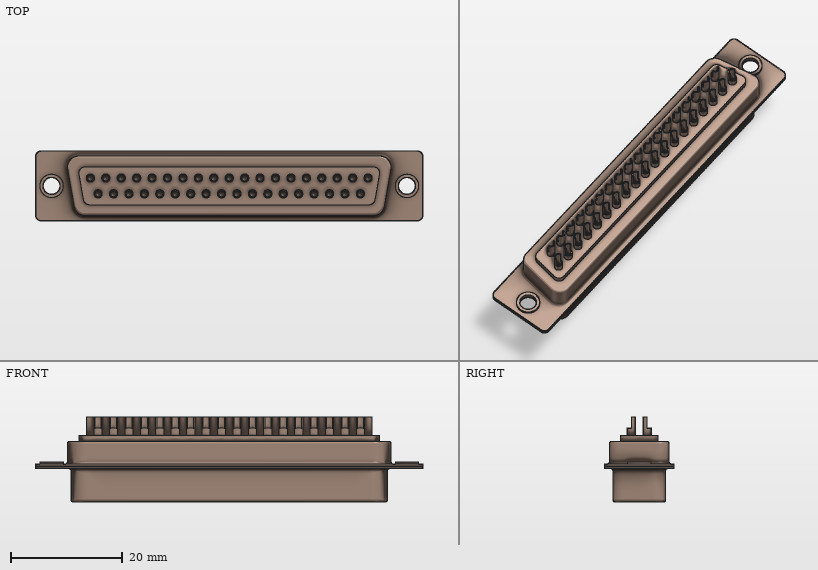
import cadquery as cq
import math

FLANGE_LENGTH = 69.57
FLANGE_WIDTH = 12.55
SHEET_THICKNESS = 0.3
CORE_THICKNESS = 0.2
CORE_SETBACK = 0.05
FLANGE_CORNER_RADIUS = 1.0
MOUNT_SPACING = 63.8
MOUNT_HOLE_DIAMETER = 3.0
MOUNT_RELIEF_DIAMETER = 3.3
EYELET_DIAMETER = 4.2
EYELET_HEIGHT = 0.4

OVERALL_HEIGHT = 15.3
SIDE_ANGLE = math.radians(10)

REAR_SHELL_LENGTH = 58.1
REAR_SHELL_WIDTH = 10.7
REAR_SHELL_HEIGHT = 4.1
FRONT_SHELL_LENGTH = 56.8
FRONT_SHELL_WIDTH = 9.43
FRONT_SHELL_DEPTH = 6.0
SHELL_CORNER_RADIUS = 2.0
SHELL_RIM_RADIUS = 0.4
REAR_FOOT_RADIUS = 0.5
FRONT_FOOT_RADIUS = 0.45

INSULATOR_LENGTH = 54.0
INSULATOR_WIDTH = 6.8
INSULATOR_HEIGHT = 1.05
INSULATOR_CORNER_RADIUS = 1.1

PIN_PITCH = 2.77
ROW_SPACING = 2.84
LONG_ROW_COUNT = 19
CUP_DIAMETER = 1.48
CUP_BORE_DIAMETER = 1.08
CUP_NOTCH_DEPTH = 2.05
CUP_BORE_DEPTH = 4.0
DRILL_POINT_ANGLE = math.radians(118)

SELECT_TOLERANCE = 0.01

flange_top = 2 * SHEET_THICKNESS + CORE_THICKNESS
rear_shell_top = flange_top + REAR_SHELL_HEIGHT
insulator_top = rear_shell_top + INSULATOR_HEIGHT
cup_top = OVERALL_HEIGHT - FRONT_SHELL_DEPTH
notch_floor = cup_top - CUP_NOTCH_DEPTH


def d_prism(length, width, corner_radius, z_low, z_high):
    """Rounded D-shaped prism, longest on its +Y side; length spans the rounded corners."""
    half_width = width / 2
    corner_reach = corner_radius * (1 + math.sin(SIDE_ANGLE)) / math.cos(SIDE_ANGLE)
    long_half = length / 2 - corner_radius + corner_reach
    short_half = long_half - width * math.tan(SIDE_ANGLE)
    corners = [
        (-long_half, half_width),
        (long_half, half_width),
        (short_half, -half_width),
        (-short_half, -half_width),
    ]
    prism = cq.Workplane("XY").workplane(offset=z_low).polyline(corners).close().extrude(z_high - z_low)
    return prism.edges("|Z").fillet(corner_radius)


def make_flange():
    """Two sheets with a recessed core between them, all with rounded corners."""
    core_top = SHEET_THICKNESS + CORE_THICKNESS
    layers = (
        (0, SHEET_THICKNESS, 0),
        (SHEET_THICKNESS, core_top, CORE_SETBACK),
        (core_top, flange_top, 0),
    )
    flange = cq.Workplane("XY")
    for z_low, z_high, setback in layers:
        layer = cq.Workplane("XY").workplane(offset=z_low)
        layer = layer.rect(FLANGE_LENGTH - 2 * setback, FLANGE_WIDTH - 2 * setback)
        layer = layer.extrude(z_high - z_low).edges("|Z").fillet(FLANGE_CORNER_RADIUS - setback)
        flange = flange.union(layer)
    return flange


def make_shells(flange):
    """Both shells on the flange, with rounded rims and concave feet."""
    rear = d_prism(REAR_SHELL_LENGTH, REAR_SHELL_WIDTH, SHELL_CORNER_RADIUS, 0, rear_shell_top)
    rear = rear.faces(">Z").edges().fillet(SHELL_RIM_RADIUS)
    front = d_prism(FRONT_SHELL_LENGTH, FRONT_SHELL_WIDTH, SHELL_CORNER_RADIUS, -FRONT_SHELL_DEPTH, 0)
    front = front.faces("<Z").edges().fillet(SHELL_RIM_RADIUS)
    body = flange.union(rear).union(front)
    for level, length, width, foot_radius in (
        (flange_top, REAR_SHELL_LENGTH, REAR_SHELL_WIDTH, REAR_FOOT_RADIUS),
        (0, FRONT_SHELL_LENGTH, FRONT_SHELL_WIDTH, FRONT_FOOT_RADIUS),
    ):
        half_length = length / 2 + SELECT_TOLERANCE
        half_width = width / 2 + SELECT_TOLERANCE
        foot_zone = cq.selectors.BoxSelector(
            (-half_length, -half_width, level - SELECT_TOLERANCE),
            (half_length, half_width, level + SELECT_TOLERANCE),
        )
        body = body.edges(foot_zone).fillet(foot_radius)
    return body


def mount_circles(diameter):
    """Circles at both mounting positions, at the underside of the flange."""
    centres = cq.Workplane("XY").pushPoints([(-MOUNT_SPACING / 2, 0), (MOUNT_SPACING / 2, 0)])
    return centres.circle(diameter / 2)


def add_eyelets(body):
    """Raised rim around each mounting hole, with the hole widened through the lower sheet."""
    eyelet_top = flange_top + EYELET_HEIGHT
    body = body.union(mount_circles(EYELET_DIAMETER).extrude(eyelet_top))
    body = body.cut(mount_circles(MOUNT_HOLE_DIAMETER).extrude(eyelet_top))
    return body.cut(mount_circles(MOUNT_RELIEF_DIAMETER).extrude(SHEET_THICKNESS))


def row_points(count, side):
    """Contact centres of one row; side is the sign of the row's Y position."""
    return [((i - (count - 1) / 2) * PIN_PITCH, side * ROW_SPACING / 2) for i in range(count)]


def add_solder_cups(body, count, side):
    """One row of solder cups, each open on the half that faces away from the other row."""
    points = row_points(count, side)
    posts = cq.Workplane("XY").workplane(offset=rear_shell_top).pushPoints(points)
    body = body.union(posts.circle(CUP_DIAMETER / 2).extrude(cup_top - rear_shell_top))

    bore_radius = CUP_BORE_DIAMETER / 2
    bore_floor = cup_top - CUP_BORE_DEPTH
    drill_tip = bore_floor - bore_radius / math.tan(DRILL_POINT_ANGLE / 2)
    bore_profile = [(0, cup_top), (bore_radius, cup_top), (bore_radius, bore_floor), (0, drill_tip)]
    bore = cq.Workplane("XZ").polyline(bore_profile).close().revolve(360, (0, 0), (0, 1)).val()
    bores = cq.Workplane("XY").pushPoints(points).eachpoint(lambda place: bore.moved(place))
    body = body.cut(bores)

    notch_y = side * (ROW_SPACING + CUP_DIAMETER) / 2
    notches = cq.Workplane("XY").box(
        count * PIN_PITCH, CUP_DIAMETER, CUP_NOTCH_DEPTH, centered=(True, True, False)
    )
    return body.cut(notches.translate((0, notch_y, notch_floor)))


def add_insulator(body):
    """Plateau of the insulator, standing above the rear shell."""
    insulator = d_prism(
        INSULATOR_LENGTH, INSULATOR_WIDTH, INSULATOR_CORNER_RADIUS, flange_top, insulator_top
    )
    return body.union(insulator)


body = make_shells(make_flange())
body = add_eyelets(body)
body = add_insulator(body)
body = add_solder_cups(body, LONG_ROW_COUNT, 1)
result = add_solder_cups(body, LONG_ROW_COUNT - 1, -1)